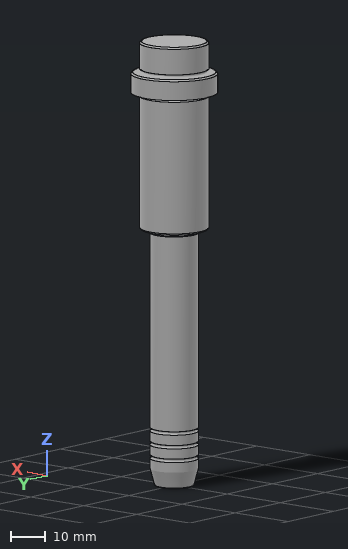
import cadquery as cq
import math

total_length = 130.0
collar_top = 121.0
collar_bottom = 115.0
body_bottom = 75.0
taper_length = 5.0

collar_radius = 12.5
body_radius = 10.0
rod_radius = 7.0

chamfer = 0.5
tip_chamfer = 0.3

taper_angle = math.radians(15.0)
tip_radius = rod_radius - taper_length * math.tan(taper_angle)

neck_length = 1.0
neck_depth = 0.5

groove_radius = 0.5
groove_width = 2 * groove_radius
rod_groove_count = 3
rod_groove_pitch = 4.0
first_rod_groove_bottom = 8.0


def cylinder(radius, bottom, top):
    """Solid cylinder on the Z axis between two heights."""
    return cq.Workplane("XY").workplane(offset=bottom).circle(radius).extrude(top - bottom)


def ring_groove(surface_radius, bottom):
    """Torus-shaped cutter that sinks a half-round groove into a cylindrical surface."""
    center_height = bottom + groove_radius
    section = cq.Workplane("XZ").center(surface_radius, center_height).circle(groove_radius)
    return section.revolve(360, (-surface_radius, 0, 0), (-surface_radius, 1, 0))


def make_rod():
    """Slim guide rod with a tapered tip, ring grooves and a relief neck."""
    neck_bottom = body_bottom - neck_length
    tip = (
        cq.Workplane("XZ")
        .polyline([(0, 0), (tip_radius, 0), (rod_radius, taper_length), (0, taper_length)])
        .close()
        .revolve(360, (0, 0, 0), (0, 1, 0))
        .faces("<Z")
        .chamfer(tip_chamfer)
    )
    rod = tip.union(cylinder(rod_radius, taper_length, neck_bottom))
    rod = rod.union(cylinder(rod_radius - neck_depth, neck_bottom, body_bottom))
    for index in range(rod_groove_count):
        groove_bottom = first_rod_groove_bottom + index * rod_groove_pitch
        rod = rod.cut(ring_groove(rod_radius, groove_bottom))
    return rod


def make_body():
    """Thick upper body with chamfered ends and a relief groove on each side of the collar."""
    body = cylinder(body_radius, body_bottom, total_length).faces("<Z or >Z").chamfer(chamfer)
    for groove_bottom in (collar_bottom - groove_width, collar_top):
        body = body.cut(ring_groove(body_radius, groove_bottom))
    return body


def make_collar():
    """Stop collar with a chamfered upper rim."""
    return cylinder(collar_radius, collar_bottom, collar_top).faces(">Z").chamfer(chamfer)


result = make_body().union(make_collar()).union(make_rod())